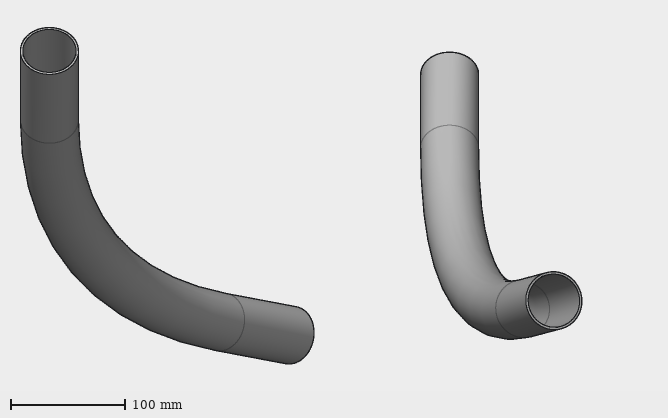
import cadquery as cq
import math

overall_height = 622.5
outer_diameter = 51.0
bore_diameter = 46.5
straight_length = 102.0
bend_angle = math.radians(45)

straight_height = straight_length * (1 + math.cos(bend_angle))
rim_height = outer_diameter / 2 * math.sin(bend_angle)
bend_radius = (overall_height - straight_height - rim_height) / math.sin(bend_angle)


def bend_point(angle):
    """Centreline point (Y, Z) after turning through the given angle from the vertical end."""
    y = bend_radius * (1 - math.cos(angle))
    z = -straight_length - bend_radius * math.sin(angle)
    return y, z


bend_end_y, bend_end_z = bend_point(bend_angle)
tube_end = (
    bend_end_y + straight_length * math.sin(bend_angle),
    bend_end_z - straight_length * math.cos(bend_angle),
)
centreline = (
    cq.Workplane("YZ")
    .lineTo(0, -straight_length)
    .threePointArc(bend_point(bend_angle / 2), (bend_end_y, bend_end_z))
    .lineTo(*tube_end)
)

result = (
    cq.Workplane("XY")
    .circle(outer_diameter / 2)
    .circle(bore_diameter / 2)
    .sweep(centreline)
)